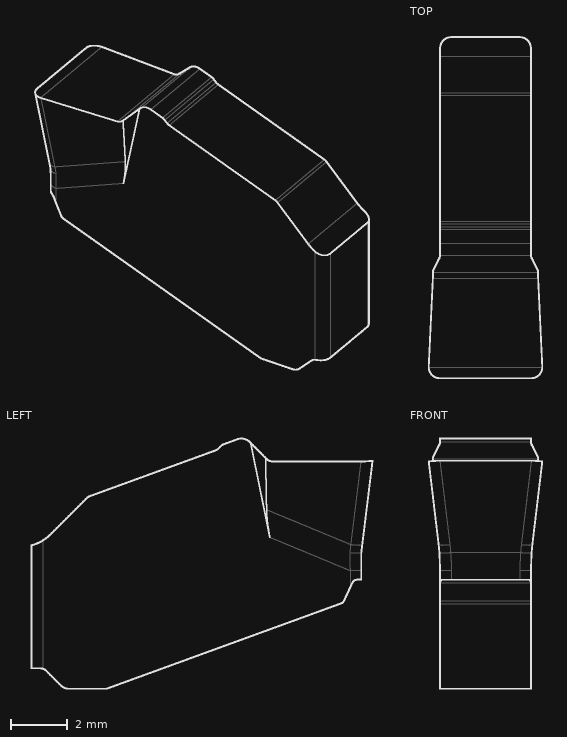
import math

import cadquery as cq

LENGTH = 12.0
BODY_WIDTH = 3.2
CORNER_RADIUS = 0.4

SLOPE = 20.0
BEVEL = 45.0
TOE_BEVEL = 65.0
CLEARANCE = 7.0

FLOOR_Z = 8.0
LAND_RISE = 15.0
LAND_RADIUS = 3.0
WALL_FOOT_Y = 3.64
WALL_FOOT_RADIUS = 0.3
CREST_Y = 4.51
STEP_Y = 5.29
STEP_RADIUS = 0.25
SLOPE_END_Y = 10.0
SLOPE_END_Z = 6.76
CREST_RADIUS = 0.4
REAR_LEDGE_Z = 5.0
REAR_LEDGE_RADIUS = 1.5

HEEL_Z = 0.72
HEEL_RADIUS = 0.3
FOOT_REAR_Y = 10.84
FOOT_FRONT_Y = 9.36
FOOT_RADIUS = 0.4
TOE_LEDGE_Y = 0.66
TOE_LEDGE_Z = 3.84
TOE_RADIUS = 0.2

FRONT_CREASE_Z = 4.8
FLANK_RISE = 22.5
FLANK_FOOT_Z = 4.3
FLANK_BLEND_RADIUS = 7.0
SHOULDER_LEAN = 11.5
SHOULDER_FLARE = 32.0
SHOULDER_FOOT_Y = 3.61
SHOULDER_FOOT_Z = 5.3

OVERRUN = 2.0
REACH = 12.0


def slope_of(degrees):
    return math.tan(math.radians(degrees))


def meeting_point(first, first_slope, second, second_slope):
    """Where two lines, each given by a point (y, z) and a slope dz/dy, cross."""
    gap = second[1] - first[1] - second_slope * (second[0] - first[0])
    run = gap / (first_slope - second_slope)
    return first[0] + run, first[1] + first_slope * run


def rounded_polygon(plane, corners):
    """Closed outline through (u, v, radius) corners; radius 0 leaves a corner sharp."""
    outline = None
    for index, (u, v, radius) in enumerate(corners):
        corner = cq.Vector(u, v)
        if radius == 0:
            stops = [corner]
        else:
            before = cq.Vector(*corners[index - 1][:2])
            after = cq.Vector(*corners[(index + 1) % len(corners)][:2])
            back = (before - corner).normalized()
            ahead = (after - corner).normalized()
            half_angle = back.getAngle(ahead) / 2
            setback = radius / math.tan(half_angle)
            to_arc = radius / math.sin(half_angle) - radius
            middle = corner + (back + ahead).normalized() * to_arc
            stops = [corner + back * setback, middle, corner + ahead * setback]
        points = [(stop.x, stop.y) for stop in stops]
        if outline is None:
            outline = cq.Workplane(plane).moveTo(*points[0])
        else:
            outline = outline.lineTo(*points[0])
        if radius > 0:
            outline = outline.threePointArc(points[1], points[2])
    return outline.close()


def upper_corners():
    """Corners of the top outline, from in front of the tip to behind the rear end."""
    crest = (CREST_Y, FLOOR_Z + (CREST_Y - WALL_FOOT_Y) * slope_of(BEVEL))
    step = (STEP_Y, crest[1] - (STEP_Y - CREST_Y) * slope_of(SLOPE))
    slope_end = (SLOPE_END_Y, SLOPE_END_Z)
    step_foot = meeting_point(step, -slope_of(BEVEL), slope_end, -slope_of(SLOPE))
    ledge_y = SLOPE_END_Y + (SLOPE_END_Z - REAR_LEDGE_Z) / slope_of(BEVEL)
    return [
        (-OVERRUN, FLOOR_Z + OVERRUN * slope_of(LAND_RISE), 0),
        (0, FLOOR_Z, LAND_RADIUS),
        (WALL_FOOT_Y, FLOOR_Z, WALL_FOOT_RADIUS),
        (*crest, CREST_RADIUS),
        (*step, STEP_RADIUS),
        (*step_foot, STEP_RADIUS),
        (*slope_end, STEP_RADIUS),
        (ledge_y, REAR_LEDGE_Z, REAR_LEDGE_RADIUS),
        (LENGTH + OVERRUN, REAR_LEDGE_Z, 0),
    ]


def lower_corners():
    """Corners of the bottom outline, from behind the rear end to in front of the tip."""
    heel_y = FOOT_REAR_Y + HEEL_Z / slope_of(BEVEL)
    toe_ledge = (TOE_LEDGE_Y, TOE_LEDGE_Z)
    toe = meeting_point(toe_ledge, -slope_of(TOE_BEVEL), (FOOT_FRONT_Y, 0), -slope_of(SLOPE))
    return [
        (LENGTH + OVERRUN, HEEL_Z, 0),
        (heel_y, HEEL_Z, HEEL_RADIUS),
        (FOOT_REAR_Y, 0, FOOT_RADIUS),
        (FOOT_FRONT_Y, 0, 0),
        (*toe, TOE_RADIUS),
        (*toe_ledge, TOE_RADIUS),
        (-OVERRUN, TOE_LEDGE_Z, 0),
    ]


def end_faces_blank(width):
    """Bar with the finished front and rear faces, too tall above and below."""
    tip_setback = LAND_RADIUS * slope_of(LAND_RISE / 2)
    tip_z = FLOOR_Z + LAND_RADIUS - math.sqrt(LAND_RADIUS**2 - tip_setback**2)
    top_z = tip_z + OVERRUN
    crease_y = (tip_z - FRONT_CREASE_Z) * slope_of(CLEARANCE)
    corners = [
        (crease_y, -OVERRUN),
        (crease_y, FRONT_CREASE_Z),
        ((tip_z - top_z) * slope_of(CLEARANCE), top_z),
        (LENGTH, top_z),
        (LENGTH, -OVERRUN),
    ]
    return cq.Workplane("YZ").polyline(corners).close().extrude(width / 2, both=True)


def leaning_plane(y, z, run_y, run_z):
    """Section plane through (0, y, z), facing along the direction (0, run_y, run_z)."""
    return cq.Plane(origin=(0, y, z), xDir=(1, 0, 0), normal=(0, run_y, run_z))


def flank_prism():
    """Prism between the two relieved flanks, each blended into a body side."""
    angle = math.radians(FLANK_RISE)
    section = leaning_plane(0, FLANK_FOOT_Z, -math.cos(angle), -math.sin(angle))
    half = BODY_WIDTH / 2
    top_half = half + REACH * slope_of(CLEARANCE)
    corners = [
        (-half, -REACH, 0),
        (half, -REACH, 0),
        (half, 0, FLANK_BLEND_RADIUS),
        (top_half, REACH, 0),
        (-top_half, REACH, 0),
        (-half, 0, FLANK_BLEND_RADIUS),
    ]
    return rounded_polygon(section, corners).extrude(REACH, both=True)


def shoulder_prism():
    """Prism that flares from the body sides toward the tip along the leaning shoulders."""
    angle = math.radians(SHOULDER_LEAN)
    section = leaning_plane(SHOULDER_FOOT_Y, SHOULDER_FOOT_Z, -math.sin(angle), -math.cos(angle))
    half = BODY_WIDTH / 2
    front_half = half + REACH * slope_of(SHOULDER_FLARE)
    corners = [(-half, 0), (half, 0), (front_half, REACH), (-front_half, REACH)]
    return cq.Workplane(section).polyline(corners).close().extrude(REACH, both=True)


def round_upright_corners(blank):
    """Round the upright corners at the tip and at the rear end."""
    inner_x = BODY_WIDTH / 2 - CORNER_RADIUS
    outer_x = BODY_WIDTH
    for side in (-1, 1):
        region = cq.selectors.BoxSelector(
            (side * inner_x, -OVERRUN, -REACH),
            (side * outer_x, 2 * CORNER_RADIUS, REACH),
        )
        blank = blank.edges(region).fillet(CORNER_RADIUS)
    return blank.faces(">Y").edges("|Z").fillet(CORNER_RADIUS)


body = end_faces_blank(BODY_WIDTH)
head = end_faces_blank(2 * BODY_WIDTH).intersect(flank_prism()).intersect(shoulder_prism())
blank = round_upright_corners(body.union(head))
side_outline = rounded_polygon("YZ", upper_corners() + lower_corners())
result = blank.intersect(side_outline.extrude(BODY_WIDTH, both=True))